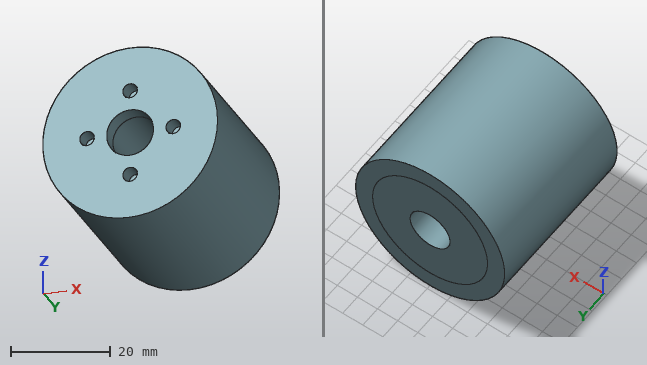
import cadquery as cq

length = 38.1
outer_diameter = 37.07
core_diameter = 28.58
bore_diameter = 9.9
front_wall = 3.8
screw_hole_diameter = 3.05
screw_circle_radius = 9.15
screw_hole_count = 4

front_y = -length / 2
core_front_y = front_y + front_wall
core_length = length - front_wall


def cylinder(diameter, start_y, depth):
    """Cylinder on the Y axis that runs from start_y toward +Y."""
    return cq.Workplane("XZ", origin=(0, start_y, 0)).circle(diameter / 2).extrude(-depth)


def make_bore():
    return cylinder(bore_diameter, front_y, length)


def make_screw_holes():
    """Ring of cylinders that pierce the front wall and stop at the core."""
    return (
        cq.Workplane("XZ", origin=(0, front_y, 0))
        .polarArray(screw_circle_radius, 0, 360, screw_hole_count)
        .circle(screw_hole_diameter / 2)
        .extrude(-front_wall)
    )


def make_housing():
    """Cup with a bored front wall and an open back."""
    shell = cylinder(outer_diameter, front_y, length)
    cavity = cylinder(core_diameter, core_front_y, core_length)
    return shell.cut(cavity).cut(make_bore()).cut(make_screw_holes())


def make_core():
    """Bored sleeve that fills the cavity, flush with the back of the housing."""
    return cylinder(core_diameter, core_front_y, core_length).cut(make_bore())


housing = make_housing()
core = make_core()

result = cq.Compound.makeCompound([housing.val(), core.val()])